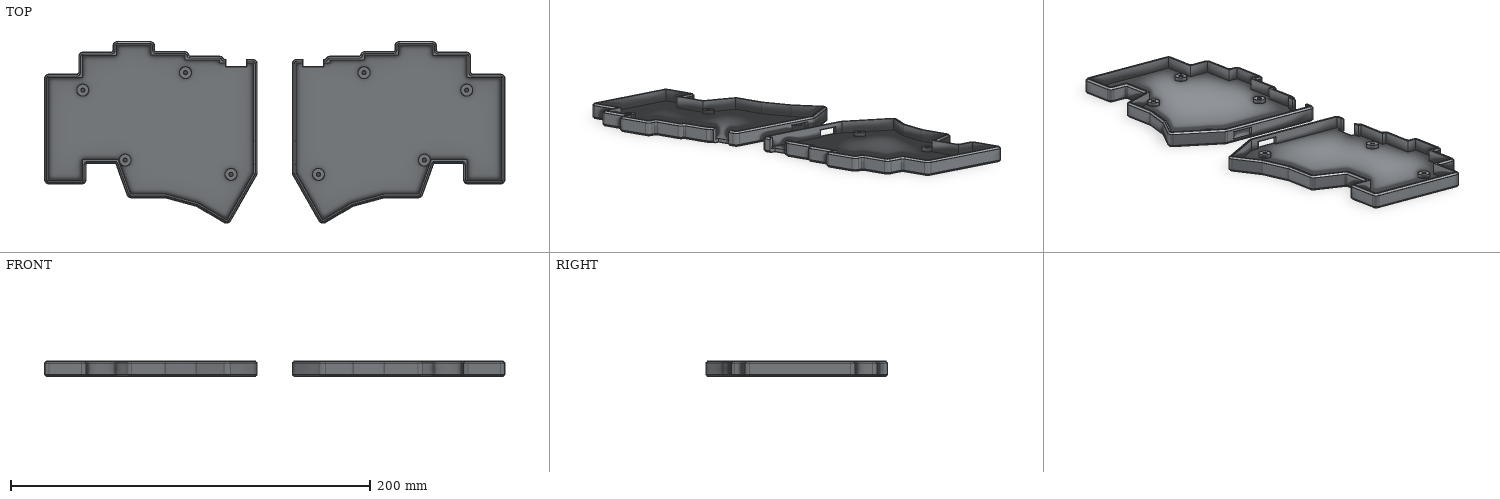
import cadquery as cq
LENGTH = 256.3
HEIGHT = 8.5
WALL = 2.0
FLOOR = 2.0
EDGE_CHAMFER = 1.0
OUTER_CORNER_RADIUS = 2.5
INNER_CORNER_RADIUS = 1.0

COLUMN_COUNT = 6
CAVITY_FAR_X = -LENGTH / 2 + WALL
CAVITY_NEAR_X = -11.8
COLUMN_PITCH = (CAVITY_NEAR_X - CAVITY_FAR_X) / COLUMN_COUNT

COLUMN_BACKS = [30.5, 42.8, 48.7, 43.0, 40.5, 38.7]
FAR_COLUMN_FRONT = -26.7
PALM_FRONT = -15.0
THUMB_FRONT = -34.3

THUMB_START_X = -80.2
THUMB_BEND_1 = (-60.7, THUMB_FRONT)
THUMB_BEND_2 = (-42.8, -39.2)
THUMB_TIP = (-26.7, -48.7)
PALM_INNER_X = -87.1
NEAR_SIDE_FRONT = -22.5

BOSS_DIAMETER = 6.7
BOSS_HOLE_DIAMETER = 2.2
BOSS_HEIGHT = 2.0
BOSS_CENTERS = [(-107.0, 23.5), (-49.7, 33.3), (-83.3, -15.5), (-24.3, -23.3)]

NOTCH_LEFT = -27.2
NOTCH_RIGHT = -15.6
NOTCH_FRONT = 36.7

SLOT_BACK = -4.9
SLOT_FRONT = -17.7
SLOT_BOTTOM = FLOOR
SLOT_TOP = 6.2


def cavity_outline():
    """Sharp-cornered outline of the cavity, clockwise from the far front corner."""
    points = [(CAVITY_FAR_X, FAR_COLUMN_FRONT)]
    for column, back in enumerate(COLUMN_BACKS):
        left = CAVITY_FAR_X + column * COLUMN_PITCH
        points.append((left, back))
        points.append((left + COLUMN_PITCH, back))
    points += [
        (CAVITY_NEAR_X, NEAR_SIDE_FRONT),
        THUMB_TIP,
        THUMB_BEND_2,
        THUMB_BEND_1,
        (THUMB_START_X, THUMB_FRONT),
        (PALM_INNER_X, PALM_FRONT),
        (CAVITY_FAR_X + COLUMN_PITCH, PALM_FRONT),
        (CAVITY_FAR_X + COLUMN_PITCH, FAR_COLUMN_FRONT),
    ]
    return points


def make_shell():
    """Tray with walls of even thickness, rounded corners and chamfered outer edges."""
    outline = cavity_outline()
    sharp = cq.Workplane("XY").polyline(outline).close().offset2D(WALL + INNER_CORNER_RADIUS, "intersection")
    shrunk = sharp.offset2D(-INNER_CORNER_RADIUS - OUTER_CORNER_RADIUS, "arc")
    block = shrunk.offset2D(OUTER_CORNER_RADIUS, "arc").extrude(HEIGHT)
    block = block.faces("<Z or >Z").edges().chamfer(EDGE_CHAMFER)
    cavity = cq.Workplane("XY").workplane(offset=FLOOR).polyline(outline).close().extrude(HEIGHT)
    return block.cut(cavity)


def make_boss_cylinders(diameter):
    """Upright cylinders standing on the floor at every screw position."""
    return (
        cq.Workplane("XY")
        .workplane(offset=FLOOR)
        .pushPoints(BOSS_CENTERS)
        .circle(diameter / 2)
        .extrude(BOSS_HEIGHT)
    )


def make_box(x_range, y_range, z_range):
    """Box between the given low and high limits along each axis."""
    size = [high - low for low, high in (x_range, y_range, z_range)]
    return cq.Workplane("XY").box(*size, centered=False).translate((x_range[0], y_range[0], z_range[0]))


def make_left_tray():
    """Left tray with screw bosses, plug notch and cable slot."""
    bosses = make_boss_cylinders(BOSS_DIAMETER)
    boss_holes = make_boss_cylinders(BOSS_HOLE_DIAMETER)
    notch = make_box((NOTCH_LEFT, NOTCH_RIGHT), (NOTCH_FRONT, LENGTH / 2), (0, HEIGHT))
    slot = make_box((CAVITY_NEAR_X, 0), (SLOT_FRONT, SLOT_BACK), (SLOT_BOTTOM, SLOT_TOP))
    return make_shell().union(bosses).cut(boss_holes).cut(notch).cut(slot)


left_tray = make_left_tray()
right_tray = left_tray.mirror("YZ")

result = cq.Compound.makeCompound([left_tray.val(), right_tray.val()])